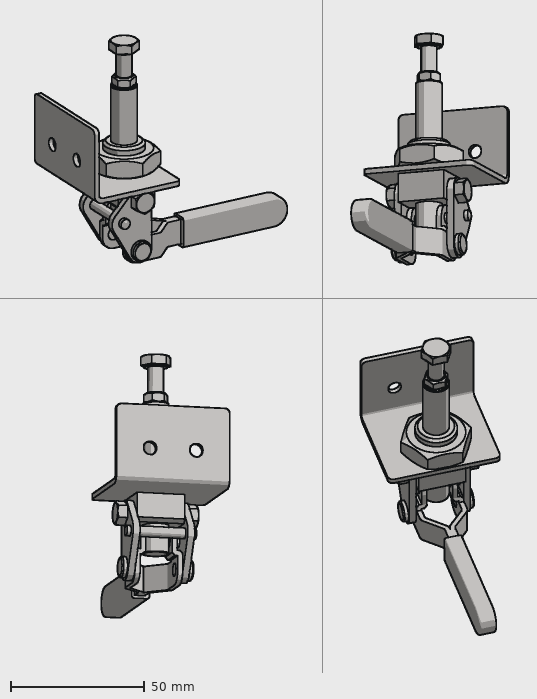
import cadquery as cq
import math


SHEET = 2.0
HEX_CHAMFER_TAN = math.tan(math.radians(30))

BRACKET_WIDTH = 44.0
BRACKET_FRONT_Y = -26.0
BRACKET_BACK_Y = 11.95
BRACKET_HEIGHT = 30.2
BRACKET_CORNER_R = 2.0
BEND_INNER_R = 1.7
MOUNT_HOLE_DIA = 5.1
MOUNT_HOLE_HALF_PITCH = 9.0
MOUNT_HOLE_Z = 13.7
BRACKET_BORE_DIA = 16.25

THREAD_DIA = 16.0
HOUSING_TOP_Z = 13.2
HOUSING_TOP_CHAMFER = 1.05
BLOCK_HALF_WIDTH = 9.3
BLOCK_HEIGHT = 10.9
BLOCK_CHAMFER = 1.5

NUT_FLATS = 24.0
NUT_HEIGHT = 8.0
NUT_FACE_DIA = 22.3

PLUNGER_DIA = 10.0
PLUNGER_CHAMFER = 0.3
PLUNGER_TOP_Z = 35.8
PLUNGER_BOTTOM_Z = -21.8
CROSS_PIN_Z = -16.8
CROSS_PIN_HALF_LENGTH = 8.8
SMALL_PIN_DIA = 4.0

SCREW_DIA = 6.0
SCREW_TOP_Z = 53.7
SCREW_HEAD_FLATS = 10.0
SCREW_HEAD_HEIGHT = 3.6
WASHER_FACE_DIA = 8.9
WASHER_FACE_HEIGHT = 0.6
SCREW_DEPTH = 14.3
JAM_NUT_FLATS = 8.0
JAM_NUT_FACE_DIA = 7.3
JAM_NUT_HEX_HEIGHT = 3.4
JAM_NUT_COLLAR_HEIGHT = 0.5
JAM_NUT_COLLAR_TOP_DIA = 7.0

LINK_R = 5.0
LINK_THICKNESS = 2.7
LINK_OUTER_X = BLOCK_HALF_WIDTH + LINK_THICKNESS
BOLT_Z = -6.8
PIVOT_Z = -27.3
STOP_PIN_Y = -7.4
STOP_PIN_Z = -14.7
STOP_PIN_PROTRUSION = 1.5
STOP_PIN_POINT = 0.3
BOLT_FLATS = 8.0
BOLT_HEAD_HEIGHT = 3.8
BOLT_FACE_DIA = 7.8
BOLT_SHANK_DIA = 5.0
BOLT_SHANK_LENGTH = 3.0
RIVET_HEAD_DIA = 8.0
RIVET_HEAD_HEIGHT = 2.0
RIVET_HEAD_CHAMFER = 0.6
RIVET_SHANK_DIA = 5.0

HANDLE_Z = -28.3
HANDLE_R = 5.0
FORK_OUTER_X = BLOCK_HALF_WIDTH
FORK_INNER_X = FORK_OUTER_X - SHEET
LEAF_INNER_R = 1.0
LEAF_OUTER_R = LEAF_INNER_R + SHEET
STEM_BEND_Y = 18.3
TAB_INNER_X = 5.1
TAB_OUTER_X = TAB_INNER_X + SHEET
JOG_TOP_Z = -20.8
JOG_BEVEL = 1.1
TAB_FLARE_TOP_Z = -21.2
TAB_FLARE = 0.6

GRIP_START_Y = 23.7
GRIP_END_Y = 69.6
GRIP_LEFT_X = -3.0
GRIP_RIGHT_X = 3.9
GRIP_WALL = 1.05
GRIP_R = HANDLE_R + GRIP_WALL
GRIP_FILLET = 1.0

SIDES = (-1, 1)


def cylinder_z(diameter, z_bottom, z_top):
    return cq.Workplane("XY").workplane(offset=z_bottom).circle(diameter / 2).extrude(z_top - z_bottom)


def cylinder_x(diameter, x_start, x_end, y, z):
    """Cylinder along X between two x places (x_start < x_end)."""
    return (
        cq.Workplane("YZ")
        .workplane(offset=x_start)
        .center(y, z)
        .circle(diameter / 2)
        .extrude(x_end - x_start)
    )


def hex_prism(flats, height, top_face_dia, bottom_face_dia=None):
    """Hexagon with corners on the X axis, standing on z = 0.

    A 30 degree cone cuts the corners at the top, and at the bottom too if its face diameter is given.
    """
    corner_r = flats / 2 / math.cos(math.radians(30))
    top_r = top_face_dia / 2
    bottom_r = bottom_face_dia / 2 if bottom_face_dia else corner_r
    outline = [(0, 0), (bottom_r, 0)]
    if bottom_r < corner_r:
        outline.append((corner_r, (corner_r - bottom_r) * HEX_CHAMFER_TAN))
    outline += [
        (corner_r, height - (corner_r - top_r) * HEX_CHAMFER_TAN),
        (top_r, height),
        (0, height),
    ]
    envelope = cq.Workplane("XZ").polyline(outline).close().revolve(360, (0, 0), (0, 1))
    return cq.Workplane("XY").polygon(6, 2 * corner_r).extrude(height).intersect(envelope)


def mirrored(half):
    """Copy of a right-hand feature on the left side."""
    return half.mirror("YZ")


def make_bracket():
    outer_r = BEND_INNER_R + SHEET
    section = (
        cq.Workplane("YZ")
        .moveTo(BRACKET_BACK_Y, 0)
        .lineTo(BRACKET_FRONT_Y + outer_r, 0)
        .radiusArc((BRACKET_FRONT_Y, outer_r), outer_r)
        .lineTo(BRACKET_FRONT_Y, BRACKET_HEIGHT)
        .lineTo(BRACKET_FRONT_Y + SHEET, BRACKET_HEIGHT)
        .lineTo(BRACKET_FRONT_Y + SHEET, outer_r)
        .radiusArc((BRACKET_FRONT_Y + outer_r, SHEET), -BEND_INNER_R)
        .lineTo(BRACKET_BACK_Y, SHEET)
        .close()
        .extrude(BRACKET_WIDTH / 2, both=True)
    )
    rounded = section.edges("|Y and >Z").fillet(BRACKET_CORNER_R).edges("|Z and >Y").fillet(BRACKET_CORNER_R)
    mount_holes = (
        cq.Workplane("XZ", origin=(0, BRACKET_FRONT_Y + SHEET, 0))
        .pushPoints([(side * MOUNT_HOLE_HALF_PITCH, MOUNT_HOLE_Z) for side in SIDES])
        .circle(MOUNT_HOLE_DIA / 2)
        .extrude(SHEET)
    )
    return rounded.cut(mount_holes).cut(cylinder_z(BRACKET_BORE_DIA, 0, SHEET))


def make_housing():
    block = (
        cq.Workplane("XY")
        .rect(2 * BLOCK_HALF_WIDTH, THREAD_DIA)
        .extrude(-BLOCK_HEIGHT)
        .edges("<Y and <Z")
        .chamfer(BLOCK_CHAMFER)
    )
    neck = cylinder_z(THREAD_DIA, 0, HOUSING_TOP_Z).faces(">Z").chamfer(HOUSING_TOP_CHAMFER)
    housing = block.union(neck).cut(cylinder_z(PLUNGER_DIA, -BLOCK_HEIGHT, HOUSING_TOP_Z))
    bolt_hole = cylinder_x(BOLT_SHANK_DIA, BLOCK_HALF_WIDTH - BOLT_SHANK_LENGTH, BLOCK_HALF_WIDTH, 0, BOLT_Z)
    return housing.cut(bolt_hole).cut(mirrored(bolt_hole))


def make_mounting_nut():
    nut = hex_prism(NUT_FLATS, NUT_HEIGHT, NUT_FACE_DIA, NUT_FACE_DIA).translate((0, 0, SHEET))
    return nut.cut(cylinder_z(THREAD_DIA, SHEET, SHEET + NUT_HEIGHT))


def make_plunger():
    rod = cylinder_z(PLUNGER_DIA, PLUNGER_BOTTOM_Z, PLUNGER_TOP_Z).faces("<Z or >Z").chamfer(PLUNGER_CHAMFER)
    cross_pin = cylinder_x(SMALL_PIN_DIA, -CROSS_PIN_HALF_LENGTH, CROSS_PIN_HALF_LENGTH, 0, CROSS_PIN_Z)
    screw_hole = cylinder_z(SCREW_DIA, PLUNGER_TOP_Z - SCREW_DEPTH, PLUNGER_TOP_Z)
    return rod.union(cross_pin).cut(screw_hole)


def make_contact_screw():
    head_bottom_z = SCREW_TOP_Z - SCREW_HEAD_HEIGHT
    head = hex_prism(SCREW_HEAD_FLATS, SCREW_HEAD_HEIGHT, SCREW_HEAD_FLATS).translate((0, 0, head_bottom_z))
    washer_face = cylinder_z(WASHER_FACE_DIA, head_bottom_z - WASHER_FACE_HEIGHT, head_bottom_z)
    shank = cylinder_z(SCREW_DIA, PLUNGER_TOP_Z - SCREW_DEPTH, head_bottom_z)

    jam_hex = hex_prism(JAM_NUT_FLATS, JAM_NUT_HEX_HEIGHT, JAM_NUT_FLATS, JAM_NUT_FACE_DIA)
    jam_collar = (
        cq.Workplane("XY")
        .workplane(offset=JAM_NUT_HEX_HEIGHT)
        .circle(JAM_NUT_FLATS / 2)
        .workplane(offset=JAM_NUT_COLLAR_HEIGHT)
        .circle(JAM_NUT_COLLAR_TOP_DIA / 2)
        .loft()
    )
    jam_nut = jam_hex.union(jam_collar).translate((0, 0, PLUNGER_TOP_Z))
    return head.union(washer_face).union(shank).union(jam_nut)


def make_link_side():
    """Right-hand link with its bolt and rivet."""
    plate = (
        cq.Workplane("YZ", origin=(BLOCK_HALF_WIDTH, 0, 0))
        .polyline([(0, BOLT_Z), (0, PIVOT_Z), (STOP_PIN_Y, STOP_PIN_Z)])
        .close()
        .offset2D(LINK_R, "arc")
        .extrude(LINK_THICKNESS)
    )
    bolt_head = (
        hex_prism(BOLT_FLATS, BOLT_HEAD_HEIGHT, BOLT_FACE_DIA)
        .rotate((0, 0, 0), (0, 1, 0), 90)
        .translate((LINK_OUTER_X, 0, BOLT_Z))
    )
    bolt_shank = cylinder_x(BOLT_SHANK_DIA, BLOCK_HALF_WIDTH - BOLT_SHANK_LENGTH, LINK_OUTER_X, 0, BOLT_Z)
    rivet_head = (
        cylinder_x(RIVET_HEAD_DIA, LINK_OUTER_X, LINK_OUTER_X + RIVET_HEAD_HEIGHT, 0, PIVOT_Z)
        .faces(">X")
        .chamfer(RIVET_HEAD_CHAMFER)
    )
    rivet_shank = cylinder_x(RIVET_SHANK_DIA, FORK_INNER_X, LINK_OUTER_X, 0, PIVOT_Z)
    return plate.union(bolt_head).union(bolt_shank).union(rivet_head).union(rivet_shank)


def make_stop_pin():
    """Pin across both links, with shallow conical ends."""
    rim_x = LINK_OUTER_X + STOP_PIN_PROTRUSION
    tip_x = rim_x + STOP_PIN_POINT
    radius = SMALL_PIN_DIA / 2
    return (
        cq.Workplane("XY")
        .polyline([(-tip_x, 0), (-rim_x, radius), (rim_x, radius), (tip_x, 0)])
        .close()
        .revolve(360, (0, 0), (1, 0))
        .translate((0, STOP_PIN_Y, STOP_PIN_Z))
    )


def make_linkage():
    link_side = make_link_side()
    return link_side.union(mirrored(link_side)).union(make_stop_pin())


def stem_end_y():
    return GRIP_END_Y - GRIP_WALL


def make_leaf():
    """Right-hand leaf: a strip bent twice by 45 degrees, from the fork to the stem."""
    diagonal = math.sqrt(0.5)
    stem_arc_x = LEAF_OUTER_R
    fork_arc_x = FORK_OUTER_X - LEAF_OUTER_R
    radii_sum = LEAF_INNER_R + LEAF_OUTER_R
    fork_bend_y = STEM_BEND_Y - (fork_arc_x - stem_arc_x) - 2 * radii_sum * diagonal

    def stem_point(radius):
        return (stem_arc_x - radius * diagonal, STEM_BEND_Y - radius * diagonal)

    def fork_point(radius):
        return (fork_arc_x + radius * diagonal, fork_bend_y + radius * diagonal)

    strip = (
        cq.Workplane("XY")
        .workplane(offset=HANDLE_Z - HANDLE_R)
        .moveTo(0, stem_end_y())
        .lineTo(0, STEM_BEND_Y)
        .radiusArc(stem_point(LEAF_OUTER_R), -LEAF_OUTER_R)
        .lineTo(*fork_point(LEAF_INNER_R))
        .radiusArc((FORK_INNER_X, fork_bend_y), LEAF_INNER_R)
        .lineTo(FORK_INNER_X, -HANDLE_R)
        .lineTo(FORK_OUTER_X, -HANDLE_R)
        .lineTo(FORK_OUTER_X, fork_bend_y)
        .radiusArc(fork_point(LEAF_OUTER_R), -LEAF_OUTER_R)
        .lineTo(*stem_point(LEAF_INNER_R))
        .radiusArc((SHEET, STEM_BEND_Y), LEAF_INNER_R)
        .lineTo(SHEET, stem_end_y())
        .close()
        .extrude(2 * HANDLE_R)
    )
    return strip.intersect(make_handle_outline())


def make_handle_outline():
    """Side outline of the handle without tabs: round far end, rounded lower front corner."""
    bottom_z = HANDLE_Z - HANDLE_R
    top_z = HANDLE_Z + HANDLE_R
    end_arc_y = stem_end_y() - HANDLE_R
    return (
        cq.Workplane("YZ")
        .moveTo(-HANDLE_R, top_z)
        .lineTo(-HANDLE_R, HANDLE_Z)
        .radiusArc((0, bottom_z), -HANDLE_R)
        .lineTo(end_arc_y, bottom_z)
        .threePointArc((stem_end_y(), HANDLE_Z), (end_arc_y, top_z))
        .close()
        .extrude(FORK_OUTER_X)
    )


def make_tab():
    """Right-hand tab: rises from the fork, jogs inwards and ends round about the cross pin."""
    top_z = CROSS_PIN_Z + HANDLE_R
    fork_top_z = HANDLE_Z + HANDLE_R
    jog_bottom_z = JOG_TOP_Z - SHEET
    flare_y = HANDLE_R + TAB_FLARE
    section = (
        cq.Workplane("XZ", origin=(0, flare_y, 0))
        .polyline([
            (TAB_OUTER_X, top_z),
            (TAB_OUTER_X, JOG_TOP_Z),
            (FORK_OUTER_X - JOG_BEVEL, JOG_TOP_Z),
            (FORK_OUTER_X, JOG_TOP_Z - JOG_BEVEL),
            (FORK_OUTER_X, fork_top_z),
            (FORK_INNER_X, fork_top_z),
            (FORK_INNER_X, jog_bottom_z),
            (TAB_INNER_X + JOG_BEVEL, jog_bottom_z),
            (TAB_INNER_X, jog_bottom_z + JOG_BEVEL),
            (TAB_INNER_X, top_z),
        ])
        .close()
        .extrude(flare_y + HANDLE_R)
    )
    outline = (
        cq.Workplane("YZ")
        .moveTo(-HANDLE_R, fork_top_z)
        .lineTo(-HANDLE_R, CROSS_PIN_Z)
        .threePointArc((0, top_z), (HANDLE_R, CROSS_PIN_Z))
        .lineTo(HANDLE_R, TAB_FLARE_TOP_Z)
        .lineTo(flare_y, fork_top_z)
        .close()
        .extrude(FORK_OUTER_X)
    )
    pin_hole = cylinder_x(SMALL_PIN_DIA, 0, FORK_OUTER_X, 0, CROSS_PIN_Z)
    return section.intersect(outline).cut(pin_hole)


def make_handle():
    rivet_hole = cylinder_x(RIVET_SHANK_DIA, FORK_INNER_X, FORK_OUTER_X, 0, PIVOT_Z)
    half = make_leaf().union(make_tab()).cut(rivet_hole)
    return half.union(mirrored(half))


def make_grip(handle):
    end_arc_y = GRIP_END_Y - GRIP_R
    sleeve = (
        cq.Workplane("YZ", origin=(GRIP_LEFT_X, 0, 0))
        .moveTo(GRIP_START_Y, HANDLE_Z - GRIP_R)
        .lineTo(end_arc_y, HANDLE_Z - GRIP_R)
        .threePointArc((GRIP_END_Y, HANDLE_Z), (end_arc_y, HANDLE_Z + GRIP_R))
        .lineTo(GRIP_START_Y, HANDLE_Z + GRIP_R)
        .close()
        .extrude(GRIP_RIGHT_X - GRIP_LEFT_X)
    )
    long_edges = sleeve.faces("<X or >X").edges("not <Y")
    return long_edges.fillet(GRIP_FILLET).cut(handle)


bracket = make_bracket()
housing = make_housing()
mounting_nut = make_mounting_nut()
plunger = make_plunger()
contact_screw = make_contact_screw()
linkage = make_linkage()
handle = make_handle()
grip = make_grip(handle)

result = cq.Compound.makeCompound([
    bracket.val(),
    housing.val(),
    mounting_nut.val(),
    plunger.val(),
    contact_screw.val(),
    linkage.val(),
    handle.val(),
    grip.val(),
])